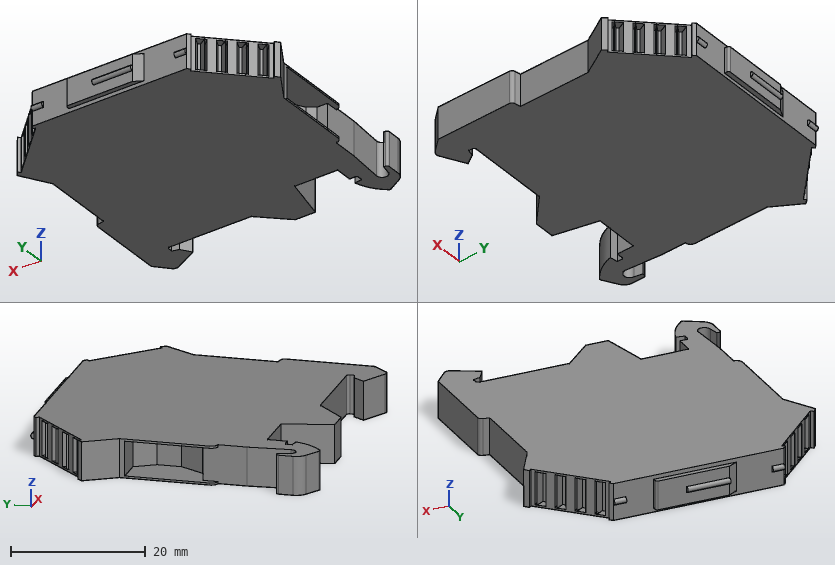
import cadquery as cq
import math


thickness = 6.1
mid_z = thickness / 2
trunk_half_width = 21.0
trunk_top = 30.3

head_top = 45.35
head_top_half_width = 14.0
catch_size = 0.4
shoulder_top = (14.1, 44.5)
shoulder_bottom = (23.0, 35.65)
ear_end = (24.0, 35.3)

leg_x = -20.0
leg_step_y = 15.4
leg_step_radius = leg_x + trunk_half_width
leg_taper_y = 10.9
hook_slit_radius = 1.0
hook_slit_x = -20.5
hook_slit_y = 4.3
hook_x = -22.55
hook_tip_y = 5.8
hook_tip_radius = 0.45
hook_tip_end_x = -21.85
hook_left_y = 3.15
hook_heel_mid = (-22.25, 2.15)
hook_heel_end = (-21.5, 1.45)
hook_toe_start = (-19.15, 0.1)
hook_toe_mid = (-18.85, 0.0)
hook_toe_end = (-18.55, 0.2)
hook_front_mid = (-16.7, 2.2)
hook_lip = (-15.7, 4.55)
rail_slot_left_x = -17.1
rail_slot_left_bottom = 4.75
rail_slot_left_top = 5.9
rail_slot_radius = 0.3

recess_left_x = -15.7
recess_right_x = -7.85
recess_top = 9.0
keel_y = 1.2
keel_left_x = -6.15
keel_right_x = -2.45
rail_seat_left_x = 2.35
rail_seat_y = 5.7

rail_slot_right_x = 17.6
rail_slot_right_bottom = 4.6
rail_seat_radius = 0.45
foot_nose_top = (16.4, 4.3)
foot_nose_bottom = (15.2, 2.55)
foot_toe_start = (19.35, 0.4)
foot_toe_mid = (20.05, 0.3)
foot_toe_end = (20.55, 0.6)
foot_x = 22.6
foot_chamfer_y = 2.85
foot_shoulder_y = 16.5
foot_shoulder_mid = (22.45, 16.9)
foot_shoulder_end = (22.05, 17.15)
foot_shoulder_start_y = 17.35

side_wall = 0.35
cut_clearance = 0.5
pocket_top = 29.45
pocket_ledge_y = 17.65
pocket_profile = [
    (-16.4, pocket_top),
    (-14.5, 26.25),
    (-14.5, 22.5),
    (-16.75, 18.6),
    (-18.15, pocket_ledge_y),
]

slot_count = 4
slot_first_y = 43.95
slot_pitch_y = 2.2
slot_height_y = 1.2
slot_depth = 1.45
slot_wall_angle = 25.0
fin_gap = 0.35
fin_base_thickness = 0.4
fin_base_sink = 0.15
fin_overhang = 0.15

lid_width = 4.75
lid_top = 46.2
lid_left_x = -6.25
lid_ridge_left_x = -4.7
lid_ridge_right_x = 2.35
lid_right_x = 7.4
lid_radius = 0.35
ridge_radius = 0.5
end_ridge_length = 1.95


def half_head():
    """Right half of the head, from the symmetry line to the sloping shoulder and ear."""
    top_x, top_y = shoulder_top
    low_x, low_y = shoulder_bottom
    return (
        cq.Workplane("XY")
        .moveTo(0, trunk_top)
        .lineTo(0, head_top)
        .lineTo(head_top_half_width, head_top)
        .lineTo(top_x + catch_size, top_y + catch_size)
        .lineTo(top_x, top_y)
        .lineTo(low_x, low_y)
        .lineTo(low_x + catch_size, low_y + catch_size)
        .lineTo(*ear_end)
        .lineTo(trunk_half_width, trunk_top)
        .close()
        .extrude(thickness)
    )


def add_hook_leg(wire):
    """Left leg: stepped outer side, slit of the spring hook, toe and rail slot."""
    slit_right = hook_slit_x + hook_slit_radius
    slit_left = hook_slit_x - hook_slit_radius
    return (
        wire.lineTo(-trunk_half_width, leg_step_y + leg_step_radius)
        .radiusArc((leg_x, leg_step_y), -leg_step_radius)
        .lineTo(leg_x, leg_taper_y)
        .lineTo(slit_right, hook_slit_y)
        .threePointArc((hook_slit_x, hook_slit_y - hook_slit_radius), (slit_left, hook_slit_y))
        .lineTo(hook_tip_end_x, hook_tip_y)
        .lineTo(hook_x + hook_tip_radius, hook_tip_y)
        .radiusArc((hook_x, hook_tip_y - hook_tip_radius), -hook_tip_radius)
        .lineTo(hook_x, hook_left_y)
        .threePointArc(hook_heel_mid, hook_heel_end)
        .lineTo(*hook_toe_start)
        .threePointArc(hook_toe_mid, hook_toe_end)
        .threePointArc(hook_front_mid, hook_lip)
        .lineTo(rail_slot_left_x, rail_slot_left_bottom)
        .lineTo(rail_slot_left_x, rail_slot_left_top - rail_slot_radius)
        .radiusArc((rail_slot_left_x + rail_slot_radius, rail_slot_left_top), rail_slot_radius)
        .lineTo(recess_left_x, rail_slot_left_top)
    )


def add_keel(wire):
    """Recess beside the hook leg, then the keel, then the start of the rail seat."""
    return (
        wire.lineTo(recess_left_x, recess_top)
        .lineTo(recess_right_x, recess_top)
        .lineTo(keel_left_x, keel_y)
        .lineTo(keel_right_x, keel_y)
        .lineTo(rail_seat_left_x, rail_seat_y)
    )


def add_fixed_foot(wire):
    """Rail seat, right foot and the shoulder above it."""
    return (
        wire.lineTo(rail_slot_right_x - rail_seat_radius, rail_seat_y)
        .radiusArc((rail_slot_right_x, rail_seat_y - rail_seat_radius), rail_seat_radius)
        .lineTo(rail_slot_right_x, rail_slot_right_bottom)
        .lineTo(*foot_nose_top)
        .lineTo(*foot_nose_bottom)
        .lineTo(*foot_toe_start)
        .threePointArc(foot_toe_mid, foot_toe_end)
        .lineTo(foot_x, foot_chamfer_y)
        .lineTo(foot_x, foot_shoulder_y)
        .threePointArc(foot_shoulder_mid, foot_shoulder_end)
        .lineTo(trunk_half_width, foot_shoulder_start_y)
        .lineTo(trunk_half_width, trunk_top)
    )


def trunk():
    """Everything below the head, as one outline."""
    wire = cq.Workplane("XY").moveTo(-trunk_half_width, trunk_top)
    wire = add_hook_leg(wire)
    wire = add_keel(wire)
    wire = add_fixed_foot(wire)
    return wire.close().extrude(thickness)


def between_side_walls(points):
    """Prism on the given XY outline that leaves a thin wall on both faces."""
    return (
        cq.Workplane("XY", origin=(0, 0, side_wall))
        .polyline(points)
        .close()
        .extrude(thickness - 2 * side_wall)
    )


def pocket():
    """Pocket behind the left edge; its lower end is a ledge level with the leg's outer side."""
    outside_x = -trunk_half_width - cut_clearance
    below_step_y = leg_step_y - cut_clearance
    opening = [
        (leg_x, pocket_ledge_y),
        (leg_x, below_step_y),
        (outside_x, below_step_y),
        (outside_x, pocket_top),
    ]
    return between_side_walls(pocket_profile + opening)


slope_length = math.dist(shoulder_top, shoulder_bottom)
down_x = (shoulder_bottom[0] - shoulder_top[0]) / slope_length
down_y = (shoulder_bottom[1] - shoulder_top[1]) / slope_length
out_x = -down_y
out_y = down_x


def on_shoulder(along, outward):
    """XY point at a distance down the right shoulder and a height above it."""
    return (
        shoulder_top[0] + along * down_x + outward * out_x,
        shoulder_top[1] + along * down_y + outward * out_y,
    )


def shoulder_slot(index):
    """Cutter for one slot; its upper wall leans inwards under the shoulder."""
    upper_lip = (slot_first_y - index * slot_pitch_y - shoulder_top[1]) / down_y
    lower_lip = upper_lip - slot_height_y / down_y
    slope_angle = math.degrees(math.atan2(out_y, out_x))
    wall_shift = slot_depth * math.tan(math.radians(slope_angle - slot_wall_angle))
    return between_side_walls([
        on_shoulder(upper_lip, 0),
        on_shoulder(lower_lip, 0),
        on_shoulder(lower_lip, -slot_depth),
        on_shoulder(upper_lip + wall_shift, -slot_depth),
    ])


def shoulder_fin(index):
    """Sharp-edged fin standing on the slot floor and rising slightly above the shoulder."""
    lower_lip = (slot_first_y - index * slot_pitch_y - slot_height_y - shoulder_top[1]) / down_y
    fin_low = lower_lip - fin_gap
    fin_high = fin_low - fin_base_thickness
    return between_side_walls([
        on_shoulder(fin_low, fin_overhang),
        on_shoulder(fin_high, -slot_depth - fin_base_sink),
        on_shoulder(fin_low, -slot_depth - fin_base_sink),
    ])


def ridge(left_x, length, axis_y):
    """Round bar along X, half sunk into the surface at axis_y."""
    return cq.Workplane("YZ", origin=(left_x, axis_y, mid_z)).circle(ridge_radius).extrude(length)


def lid():
    """Raised lid on the top edge, sloping on the left and rounded on the right."""
    return (
        cq.Workplane("XY", origin=(0, 0, mid_z - lid_width / 2))
        .moveTo(lid_left_x, head_top)
        .lineTo(lid_ridge_left_x, lid_top)
        .lineTo(lid_right_x - lid_radius, lid_top)
        .radiusArc((lid_right_x, lid_top - lid_radius), lid_radius)
        .lineTo(lid_right_x, head_top)
        .close()
        .extrude(lid_width)
    )


head_side = half_head()
for slot_index in range(slot_count):
    head_side = head_side.cut(shoulder_slot(slot_index)).union(shoulder_fin(slot_index))
head_side = head_side.union(ridge(head_top_half_width - end_ridge_length, end_ridge_length, head_top))

result = (
    trunk()
    .union(head_side)
    .union(head_side.mirror("YZ"))
    .union(lid())
    .union(ridge(lid_ridge_left_x, lid_ridge_right_x - lid_ridge_left_x, lid_top))
    .cut(pocket())
)